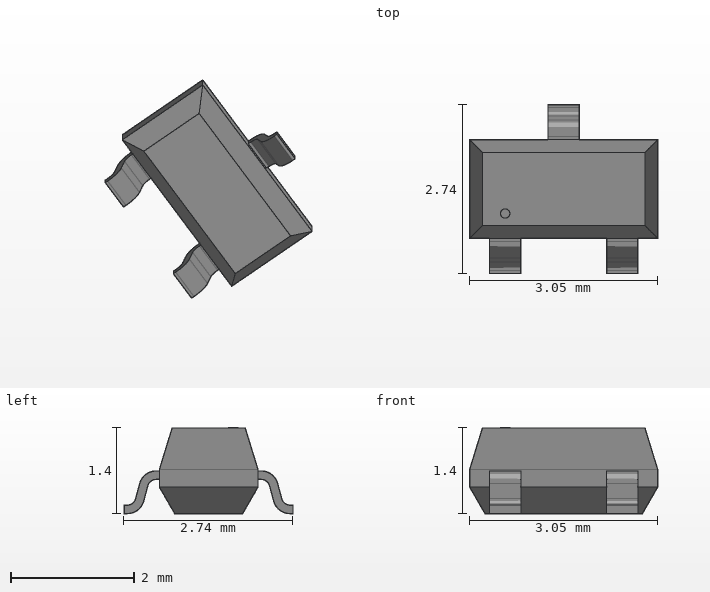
import cadquery as cq
import math

housing_length = 3.05
housing_width = 1.6
housing_height = 1.39
belt_bottom = 0.433
belt_top = 0.717
top_inset = 0.207
bottom_inset = 0.25

span = 2.74
lead_width = 0.51
lead_thickness = 0.14
lead_top = 0.695
lead_pitch = 1.897
lead_slope = math.radians(75)
inner_radius = lead_thickness
outer_radius = inner_radius + lead_thickness

reach = (span - housing_width) / 2
bend_radius = inner_radius + lead_thickness / 2
leg_rise = lead_top - lead_thickness - 2 * bend_radius * (1 - math.cos(lead_slope))
leg_run = leg_rise / math.tan(lead_slope)
flat_length = (reach - 2 * bend_radius * math.sin(lead_slope) - leg_run) / 2

marker_diameter = 0.152
marker_height = 0.01
marker_x = -lead_pitch / 2
marker_y = -0.395


def frustum(start_z, end_z, inset):
    """Rectangle of the belt outline at start_z, shrunk by inset on all sides at end_z."""
    return (
        cq.Workplane("XY", origin=(0, 0, start_z))
        .rect(housing_length, housing_width)
        .workplane(offset=end_z - start_z)
        .rect(housing_length - 2 * inset, housing_width - 2 * inset)
        .loft(ruled=True)
    )


def make_housing():
    belt = (
        cq.Workplane("XY", origin=(0, 0, belt_bottom))
        .rect(housing_length, housing_width)
        .extrude(belt_top - belt_bottom)
    )
    upper = frustum(belt_top, housing_height, top_inset)
    lower = frustum(belt_bottom, 0, bottom_inset)
    return belt.union(upper).union(lower)


def shoulder_point(radius, angle):
    """Point on the shoulder bend, with the angle measured from its crest."""
    y = housing_width / 2 + flat_length + radius * math.sin(angle)
    z = lead_top - outer_radius + radius * math.cos(angle)
    return (y, z)


def foot_point(radius, angle):
    """Point on the foot bend, with the angle measured from its lowest point."""
    y = span / 2 - flat_length - radius * math.sin(angle)
    z = outer_radius - radius * math.cos(angle)
    return (y, z)


def make_lead(x, turn):
    """Lead on the +Y side, centred on x after turning by turn degrees about Z."""
    half_slope = lead_slope / 2
    return (
        cq.Workplane("YZ")
        .moveTo(housing_width / 2, lead_top)
        .lineTo(*shoulder_point(outer_radius, 0))
        .threePointArc(shoulder_point(outer_radius, half_slope), shoulder_point(outer_radius, lead_slope))
        .lineTo(*foot_point(inner_radius, lead_slope))
        .threePointArc(foot_point(inner_radius, half_slope), foot_point(inner_radius, 0))
        .lineTo(span / 2, lead_thickness)
        .lineTo(span / 2, 0)
        .lineTo(*foot_point(outer_radius, 0))
        .threePointArc(foot_point(outer_radius, half_slope), foot_point(outer_radius, lead_slope))
        .lineTo(*shoulder_point(inner_radius, lead_slope))
        .threePointArc(shoulder_point(inner_radius, half_slope), shoulder_point(inner_radius, 0))
        .lineTo(housing_width / 2, lead_top - lead_thickness)
        .close()
        .extrude(lead_width / 2, both=True)
        .rotate((0, 0, 0), (0, 0, 1), turn)
        .translate((x, 0, 0))
    )


def make_marker():
    return (
        cq.Workplane("XY", origin=(marker_x, marker_y, housing_height))
        .circle(marker_diameter / 2)
        .extrude(marker_height)
    )


housing = make_housing()
marker = make_marker()

lead_places = [(-lead_pitch / 2, 180), (lead_pitch / 2, 180), (0, 0)]
leads = [make_lead(x, turn) for x, turn in lead_places]

result = cq.Compound.makeCompound([housing.val(), marker.val(), *[lead.val() for lead in leads]])